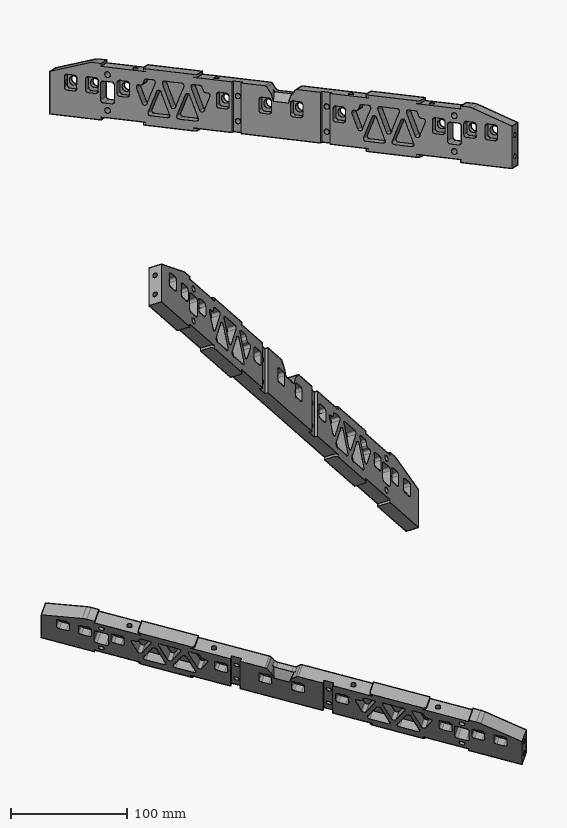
import cadquery as cq

LENGTH = 432.5
THICKNESS = 12.5
HEIGHT = 50.5
HALF_LENGTH = LENGTH / 2
MID_Z = HEIGHT / 2

END_HEIGHT = 38.0
SLOPE_X = 177.5
SLOPE_RADIUS = 13.0
EDGE_STEP = 2.5
EDGE_Z = HEIGHT - EDGE_STEP
STEP_X = 168.3
TAB_INNER_X = 78.7
TAB_OUTER_X = 129.8
TAB_CORNER_RADIUS = 3.0

NOTCH_TOP_HALF = 14.0
NOTCH_FLOOR_HALF = 9.0
NOTCH_FLOOR_Z = 41.5
NOTCH_LIP_RADIUS = 2.0
NOTCH_FLOOR_RADIUS = 4.0
RAMP_FRONT_HALF = 7.0
RAMP_FRONT_Z = 35.0
RAMP_DEPTH = 7.0

NUT_XS = (14.5, 54.5, 147.5, 177.0, 197.0)
NUT_Z = 30.3
NUT_WIDTH = 11.5
NUT_HEIGHT = 14.3
NUT_CORNER_RADIUS = 2.5
NUT_DEPTH = 7.0
BOLT_DIAMETER = 8.2

WINDOW_X = 162.0
WINDOW_WIDTH = 13.0
WINDOW_HEIGHT = 19.5
WINDOW_CORNER_RADIUS = 2.5
WINDOW_HOLE_OFFSET = 16.0
SMALL_HOLE_DIAMETER = 5.0

GROOVE_X = 41.5
GROOVE_WIDTH = 8.5
GROOVE_DEPTH = 3.0
GROOVE_HOLE_OFFSET = 11.2
GROOVE_HOLE_Z = 24.0
GROOVE_HOLE_DIAMETER = 4.8

TRUSS_X = 101.0
TRUSS_PITCH = 27.0
TRIANGLE_HALF_BASE = 11.2
TRIANGLE_HEIGHT = 27.3
TRIANGLE_CORNER_RADIUS = 2.0
TRIANGLE_DEPTH = 8.5
UPRIGHT_BASE_Z = 9.0
INVERTED_BASE_Z = 41.5
CLIP_LEDGE_DROP = 6.0
CLIP_TOP_X = 0.5

SCREW_DIAMETER = 4.5
SCREW_DEPTH = 13.0
TOP_SCREW_OFFSET = 38.0
END_SCREW_SPREAD = 9.5


def prism(points, depth):
    """Solid from an XZ outline, running from the front face into the bar."""
    return cq.Workplane("XZ").polyline(points).close().extrude(-depth)


def front_box(x, z, width, height, depth):
    """Box centred at x, z, running from the front face into the bar."""
    return cq.Workplane("XZ").center(x, z).rect(width, height).extrude(-depth)


def front_hole(x, z, diameter):
    """Round cutter through the whole thickness."""
    return cq.Workplane("XZ").center(x, z).circle(diameter / 2).extrude(-THICKNESS)


def tab(base_z):
    """Raised tab on a long edge, with both front corners rounded."""
    length = TAB_OUTER_X - TAB_INNER_X
    block = cq.Workplane("XY").box(length, THICKNESS, EDGE_STEP, centered=False)
    block = block.edges("|Z and <Y").fillet(TAB_CORNER_RADIUS)
    return block.translate((TAB_INNER_X, 0, base_z))


def half_body():
    body = prism(
        [
            (0, EDGE_STEP),
            (STEP_X, EDGE_STEP),
            (STEP_X, 0),
            (HALF_LENGTH, 0),
            (HALF_LENGTH, END_HEIGHT),
            (SLOPE_X, HEIGHT),
            (STEP_X, HEIGHT),
            (STEP_X, EDGE_Z),
            (0, EDGE_Z),
        ],
        THICKNESS,
    )
    slope_edge = cq.selectors.NearestToPointSelector((SLOPE_X, THICKNESS / 2, HEIGHT))
    body = body.edges(slope_edge).fillet(SLOPE_RADIUS)
    return body.union(tab(0)).union(tab(EDGE_Z))


def nut_pockets():
    cutter = cq.Workplane("XZ")
    for x in NUT_XS:
        pocket = front_box(x, NUT_Z, NUT_WIDTH, NUT_HEIGHT, NUT_DEPTH)
        pocket = pocket.edges("|Y").fillet(NUT_CORNER_RADIUS)
        cutter = cutter.add(pocket).add(front_hole(x, NUT_Z, BOLT_DIAMETER))
    return cutter.combine()


def window():
    cutter = front_box(WINDOW_X, MID_Z, WINDOW_WIDTH, WINDOW_HEIGHT, THICKNESS)
    cutter = cutter.edges("|Y").fillet(WINDOW_CORNER_RADIUS)
    for side in (-1, 1):
        cutter = cutter.union(front_hole(WINDOW_X, MID_Z + side * WINDOW_HOLE_OFFSET, SMALL_HOLE_DIAMETER))
    return cutter


def groove():
    cutter = front_box(GROOVE_X, MID_Z, GROOVE_WIDTH, HEIGHT, GROOVE_DEPTH)
    for side in (-1, 1):
        z = GROOVE_HOLE_Z + side * GROOVE_HOLE_OFFSET
        cutter = cutter.union(front_hole(GROOVE_X, z, GROOVE_HOLE_DIAMETER))
    return cutter


def triangle(x, base_z, direction):
    """Rounded triangular pocket; direction is +1 for apex up, -1 for apex down."""
    points = [
        (x - TRIANGLE_HALF_BASE, base_z),
        (x + TRIANGLE_HALF_BASE, base_z),
        (x, base_z + direction * TRIANGLE_HEIGHT),
    ]
    return prism(points, TRIANGLE_DEPTH).edges("|Y").fillet(TRIANGLE_CORNER_RADIUS)


def clipped_triangle(x, outward):
    """Apex-down pocket whose outer top corner is stepped away, outward being +1 or -1."""
    drop_run = CLIP_LEDGE_DROP * TRIANGLE_HALF_BASE / TRIANGLE_HEIGHT
    ledge_z = INVERTED_BASE_Z - CLIP_LEDGE_DROP
    points = [
        (x - outward * TRIANGLE_HALF_BASE, INVERTED_BASE_Z),
        (x - outward * CLIP_TOP_X, INVERTED_BASE_Z),
        (x - outward * (CLIP_TOP_X - drop_run), ledge_z),
        (x + outward * (TRIANGLE_HALF_BASE - drop_run), ledge_z),
        (x, INVERTED_BASE_Z - TRIANGLE_HEIGHT),
    ]
    return prism(points, TRIANGLE_DEPTH).edges("|Y").fillet(TRIANGLE_CORNER_RADIUS)


def truss_pockets():
    cutter = triangle(TRUSS_X, INVERTED_BASE_Z, -1)
    for side in (-1, 1):
        cutter = cutter.union(triangle(TRUSS_X + side * TRUSS_PITCH / 2, UPRIGHT_BASE_Z, 1))
        cutter = cutter.union(clipped_triangle(TRUSS_X + side * TRUSS_PITCH, side))
    return cutter


def screw_holes():
    mid_y = THICKNESS / 2
    radius = SCREW_DIAMETER / 2
    cutter = cq.Workplane("XY")
    for side in (-1, 1):
        top_start = cq.Vector(TRUSS_X + side * TOP_SCREW_OFFSET, mid_y, EDGE_Z)
        cutter = cutter.add(cq.Solid.makeCylinder(radius, SCREW_DEPTH, top_start, cq.Vector(0, 0, -1)))
        end_start = cq.Vector(HALF_LENGTH, mid_y, END_HEIGHT / 2 + side * END_SCREW_SPREAD)
        cutter = cutter.add(cq.Solid.makeCylinder(radius, SCREW_DEPTH, end_start, cq.Vector(-1, 0, 0)))
    return cutter.combine()


def notch_gap():
    """Half of the flat-floored middle notch, with its floor corner rounded."""
    points = [(0, NOTCH_FLOOR_Z), (NOTCH_FLOOR_HALF, NOTCH_FLOOR_Z), (NOTCH_TOP_HALF, EDGE_Z), (0, EDGE_Z)]
    floor_corner = cq.selectors.NearestToPointSelector((NOTCH_FLOOR_HALF, THICKNESS / 2, NOTCH_FLOOR_Z))
    return prism(points, THICKNESS).edges(floor_corner).fillet(NOTCH_FLOOR_RADIUS)


def notch_ramp():
    """Half of the ramp from the notch floor down to the front face, narrowing as it falls."""
    opening = [
        (0, RAMP_FRONT_Z),
        (RAMP_FRONT_HALF, RAMP_FRONT_Z),
        (NOTCH_FLOOR_HALF, NOTCH_FLOOR_Z),
        (NOTCH_TOP_HALF, EDGE_Z),
        (0, EDGE_Z),
    ]
    side_profile = [
        (0, RAMP_FRONT_Z),
        (RAMP_DEPTH, NOTCH_FLOOR_Z),
        (RAMP_DEPTH, HEIGHT),
        (0, HEIGHT),
    ]
    wedge = cq.Workplane("YZ").polyline(side_profile).close().extrude(NOTCH_TOP_HALF)
    return prism(opening, THICKNESS).intersect(wedge)


def cut_notch(body):
    body = body.cut(notch_gap())
    lip = cq.selectors.NearestToPointSelector((NOTCH_TOP_HALF, THICKNESS / 2, EDGE_Z))
    return body.edges(lip).fillet(NOTCH_LIP_RADIUS).cut(notch_ramp())


half = cut_notch(half_body())
for cutter in (nut_pockets(), window(), groove(), truss_pockets(), screw_holes()):
    half = half.cut(cutter)

result = half.union(half.mirror("YZ"))